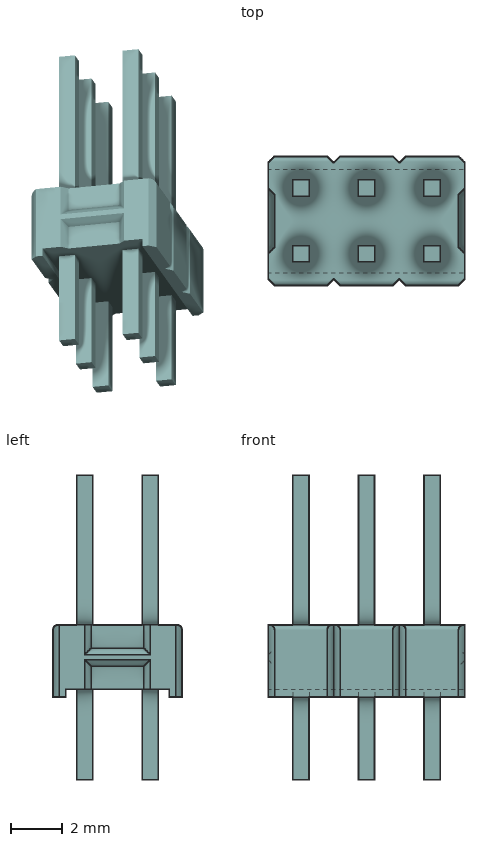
import cadquery as cq

PITCH = 2.54
COLUMNS = 3
ROWS = 2
PIN_SIZE = 0.63
PIN_ABOVE = 5.8
PIN_BELOW = 3.2

BODY_DEPTH = 5.0
BODY_HEIGHT = 2.8
BEVEL = 0.25
EDGE_RADIUS = 0.2
FOOT_HEIGHT = 0.3
FOOT_WIDTH = 0.5

POCKET_WIDTH = 2.54
WEB_HEIGHT = 0.2
OVERSHOOT = 0.5

body_length = COLUMNS * PITCH
half_length = body_length / 2
half_depth = BODY_DEPTH / 2
web_center_z = (FOOT_HEIGHT + BODY_HEIGHT) / 2
web_top = web_center_z + WEB_HEIGHT / 2
web_bottom = web_center_z - WEB_HEIGHT / 2
pin_length = PIN_BELOW + BODY_HEIGHT + PIN_ABOVE


def make_profile_bar():
    """Housing cross-section in YZ, extruded along X: rounded top edges and two feet."""
    bar = cq.Workplane("XY").box(body_length, BODY_DEPTH, BODY_HEIGHT, centered=(True, True, False))
    bar = bar.edges("|X and >Z").fillet(EDGE_RADIUS)
    channel = cq.Workplane("XY").box(
        body_length, BODY_DEPTH - 2 * FOOT_WIDTH, FOOT_HEIGHT, centered=(True, True, False)
    )
    return bar.cut(channel)


def make_notch(x, y):
    """Diamond prism that cuts a 45 degree V-notch into a long side, or bevels a corner."""
    diamond = [(x - BEVEL, y), (x, y - BEVEL), (x + BEVEL, y), (x, y + BEVEL)]
    return cq.Workplane("XY").polyline(diamond).close().extrude(BODY_HEIGHT)


def make_end_pocket(side, web_z, direction):
    """Pocket in an end face, with bevelled walls, running from the web out past the housing.

    side is the sign of X of the end face; direction is +1 above the web and -1 below it.
    """
    face_x = side * half_length
    floor_x = face_x - side * BEVEL
    half_mouth = POCKET_WIDTH / 2
    half_floor = half_mouth - BEVEL
    plan = [(face_x, -half_mouth), (floor_x, -half_floor), (floor_x, half_floor), (face_x, half_mouth)]
    reach = direction * (BODY_HEIGHT / 2 + OVERSHOOT)
    trough = cq.Workplane("XY").workplane(offset=web_z).polyline(plan).close().extrude(reach)

    wedge_outline = [(face_x, web_z), (floor_x, web_z), (floor_x, web_z + direction * BEVEL)]
    wedge = cq.Workplane("XZ").polyline(wedge_outline).close().extrude(half_mouth, both=True)
    return trough.cut(wedge)


def make_housing():
    housing = make_profile_bar()
    for side in (-1, 1):
        for boundary in range(COLUMNS + 1):
            housing = housing.cut(make_notch(boundary * PITCH - half_length, side * half_depth))
        housing = housing.cut(make_end_pocket(side, web_top, 1))
        housing = housing.cut(make_end_pocket(side, web_bottom, -1))
    return housing


def make_pins():
    return (
        cq.Workplane("XY")
        .workplane(offset=-PIN_BELOW)
        .rarray(PITCH, PITCH, COLUMNS, ROWS)
        .rect(PIN_SIZE, PIN_SIZE)
        .extrude(pin_length)
    )


result = make_housing().union(make_pins())